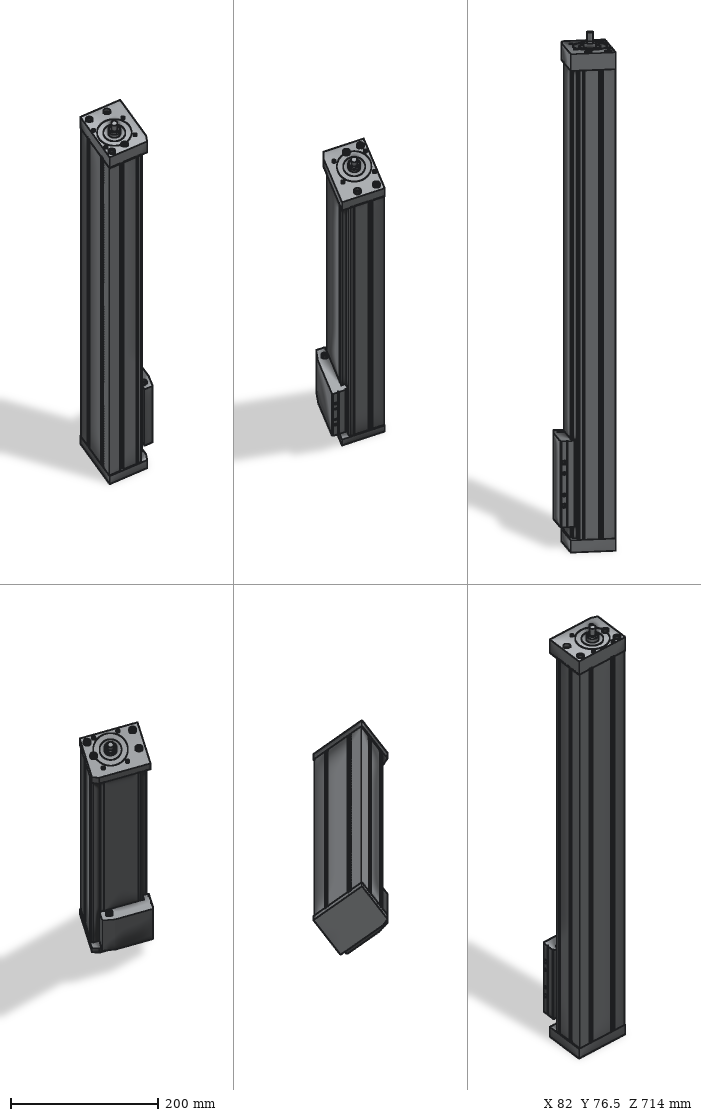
import cadquery as cq

TOTAL_LENGTH = 714.0

CAP_WIDTH = 82.0
CAP_DEPTH = 62.0
BOTTOM_CAP_LENGTH = 17.0
TOP_CAP_LENGTH = 23.5
CAP_SLOPE_WIDTH = 9.0
CAP_SLOPE_DROP = 3.5

SHAFT_STUB = 19.0
SHAFT_DIAMETER = 8.5
SHAFT_X = 5.35
SHAFT_Y = 27.0
COLLAR_DIAMETER = 17.0
COLLAR_TIP_DIAMETER = 13.5
COLLAR_HEIGHT = 7.0
COLLAR_CONE_HEIGHT = 2.0

SEAT_DIAMETER = 47.0
SEAT_DEPTH = 1.0
BEARING_DIAMETER = 30.0
BEARING_DEPTH = 1.5

FLANGE_HOLE_DIAMETER = 3.2
FLANGE_HOLE_DEPTH = 11.0
FLANGE_MOUTH_DIAMETER = 5.0
FLANGE_MOUTH_DEPTH = 1.5
FLANGE_PITCH_X = 34.0
FLANGE_PITCH_Y = 46.0

SCREW_POSITIONS = [(-31.5, 8.5), (33.0, 8.0), (30.0, 29.0)]
SCREW_HOLE_DIAMETER = 3.2
SCREW_STEP_DIAMETER = 7.0
SCREW_STEP_DEPTH = 6.5
SCREW_MOUTH_DIAMETER = 10.0
SCREW_MOUTH_DEPTH = 2.0

PORT_X = -32.0
PORT_Y = 36.5
PORT_DIAMETER = 6.0
PORT_HEAD_DIAMETER = 10.0
PORT_HEAD_DEPTH = 6.5

PROFILE_WIDTH = 79.0
BODY_HEIGHT = 51.5
BODY_CHAMFER = 2.0
SIDE_GROOVE_BOTTOM = 43.0
SIDE_GROOVE_TOP = 45.0
SIDE_GROOVE_DEPTH = 1.5
RAIL_WIDTH = 56.0
RAIL_EDGE = 56.5
RAIL_STEP = 58.0
RAIL_TOP = 60.0
RAIL_TOP_WIDTH = 48.5
SLOT_MOUTH_WIDTH = 6.0
SLOT_MOUTH_DEPTH = 1.5
SLOT_WIDTH = 2.0
SLOT_DEPTH = 7.0
BACK_SLOT_PITCH = 38.5
SIDE_SLOT_Y = 20.0

CARRIAGE_START = 36.0
CARRIAGE_LENGTH = 120.0
CARRIAGE_LEFT = -CAP_WIDTH / 2
CARRIAGE_EDGE_CHAMFER = 1.5
CARRIAGE_RIGHT = 31.0
CARRIAGE_TOP = 76.5
CARRIAGE_BOTTOM = 53.5
CARRIAGE_LEG_THICKNESS = 8.5
CARRIAGE_SLOPE_WIDTH = 17.0
CARRIAGE_SLOPE_DROP = 3.5
CARRIAGE_UPPER_GROOVE_Y = 67.0
CARRIAGE_LOWER_GROOVE_Y = 56.5
CARRIAGE_GROOVE_WIDTH = 1.5
CARRIAGE_GROOVE_DEPTH = 1.5
SIDE_HOLE_Y = 71.5
SIDE_HOLE_DEPTH = 8.5
OUTER_HOLE_DIAMETER = 6.0
OUTER_HOLE_PITCH = 60.0
INNER_HOLE_DIAMETER = 4.0
INNER_HOLE_PITCH = 30.0
END_HOLE_X = 18.5
END_HOLE_Y = 65.0
END_HOLE_DIAMETER = 5.0
END_HOLE_DEPTH = 14.0
END_HEAD_DIAMETER = 10.0
END_HEAD_DEPTH = 4.0

TOP_CAP_TOP = TOTAL_LENGTH - SHAFT_STUB
TOP_CAP_BOTTOM = TOP_CAP_TOP - TOP_CAP_LENGTH
BEARING_FLOOR = TOP_CAP_TOP - BEARING_DEPTH


def cylinder(x, y, z, diameter, height):
    """Cylinder along Z standing on the level z."""
    return cq.Workplane("XY", origin=(x, y, z)).circle(diameter / 2).extrude(height)


def make_cap(bottom, length):
    """End cap block with its sloped +X, +Y corner."""
    half = CAP_WIDTH / 2
    outline = [
        (-half, 0),
        (half, 0),
        (half, CAP_DEPTH - CAP_SLOPE_DROP),
        (half - CAP_SLOPE_WIDTH, CAP_DEPTH),
        (-half, CAP_DEPTH),
    ]
    return cq.Workplane("XY", origin=(0, 0, bottom)).polyline(outline).close().extrude(length)


def make_top_cap():
    """Drive end cap with the shaft seat, flange holes, screw holes and side port."""
    cap = make_cap(TOP_CAP_BOTTOM, TOP_CAP_LENGTH)

    def drill(x, y, diameter, depth):
        return cap.cut(cylinder(x, y, TOP_CAP_TOP, diameter, -depth))

    cap = drill(SHAFT_X, SHAFT_Y, SEAT_DIAMETER, SEAT_DEPTH)
    cap = drill(SHAFT_X, SHAFT_Y, BEARING_DIAMETER, BEARING_DEPTH)
    cap = drill(SHAFT_X, SHAFT_Y, SHAFT_DIAMETER, TOP_CAP_LENGTH)
    for side_x in (-1, 1):
        for side_y in (-1, 1):
            x = SHAFT_X + side_x * FLANGE_PITCH_X / 2
            y = SHAFT_Y + side_y * FLANGE_PITCH_Y / 2
            cap = drill(x, y, FLANGE_HOLE_DIAMETER, FLANGE_HOLE_DEPTH)
            cap = drill(x, y, FLANGE_MOUTH_DIAMETER, FLANGE_MOUTH_DEPTH)
    for x, y in SCREW_POSITIONS:
        cap = drill(x, y, SCREW_HOLE_DIAMETER, TOP_CAP_LENGTH)
        cap = drill(x, y, SCREW_STEP_DIAMETER, SCREW_STEP_DEPTH)
        cap = drill(x, y, SCREW_MOUTH_DIAMETER, SCREW_MOUTH_DEPTH)
    cap = drill(PORT_X, PORT_Y, PORT_DIAMETER, TOP_CAP_LENGTH)
    return drill(PORT_X, PORT_Y, PORT_HEAD_DIAMETER, PORT_HEAD_DEPTH)


def make_profile():
    """Extruded beam with a guide rail on its +Y side and stepped slots in the other sides."""
    length = TOP_CAP_BOTTOM - BOTTOM_CAP_LENGTH
    half = PROFILE_WIDTH / 2
    groove_floor = half - SIDE_GROOVE_DEPTH
    right_half = [
        (half, 0),
        (half, SIDE_GROOVE_BOTTOM),
        (groove_floor, SIDE_GROOVE_BOTTOM),
        (groove_floor, SIDE_GROOVE_TOP),
        (half, SIDE_GROOVE_TOP),
        (half, BODY_HEIGHT - BODY_CHAMFER),
        (half - BODY_CHAMFER, BODY_HEIGHT),
        (RAIL_WIDTH / 2, BODY_HEIGHT),
        (RAIL_WIDTH / 2, RAIL_EDGE),
        (RAIL_TOP_WIDTH / 2, RAIL_STEP),
        (RAIL_TOP_WIDTH / 2, RAIL_TOP),
    ]
    left_half = [(-x, y) for x, y in reversed(right_half)]
    base = cq.Workplane("XY", origin=(0, 0, BOTTOM_CAP_LENGTH))
    profile = base.polyline(right_half + left_half).close().extrude(length)
    back_slots = base.pushPoints([(-BACK_SLOT_PITCH / 2, 0), (BACK_SLOT_PITCH / 2, 0)])
    side_slots = base.pushPoints([(-half, SIDE_SLOT_Y), (half, SIDE_SLOT_Y)])
    for width, depth in ((SLOT_MOUTH_WIDTH, SLOT_MOUTH_DEPTH), (SLOT_WIDTH, SLOT_DEPTH)):
        profile = profile.cut(back_slots.rect(width, 2 * depth).extrude(length))
        profile = profile.cut(side_slots.rect(2 * depth, width).extrude(length))
    return profile


def make_carriage():
    """Carriage plate lying on the rail, with a leg hanging down on the -X side."""
    leg_inside = CARRIAGE_LEFT + CARRIAGE_LEG_THICKNESS
    outline = [
        (CARRIAGE_LEFT, CARRIAGE_BOTTOM),
        (leg_inside, CARRIAGE_BOTTOM),
        (leg_inside, RAIL_TOP),
        (CARRIAGE_RIGHT, RAIL_TOP),
        (CARRIAGE_RIGHT, CARRIAGE_TOP - CARRIAGE_SLOPE_DROP),
        (CARRIAGE_RIGHT - CARRIAGE_SLOPE_WIDTH, CARRIAGE_TOP),
        (CARRIAGE_LEFT + CARRIAGE_EDGE_CHAMFER, CARRIAGE_TOP),
        (CARRIAGE_LEFT, CARRIAGE_TOP - CARRIAGE_EDGE_CHAMFER),
    ]
    base = cq.Workplane("XY", origin=(0, 0, CARRIAGE_START))
    carriage = base.polyline(outline).close().extrude(CARRIAGE_LENGTH)
    grooves = base.pushPoints(
        [(CARRIAGE_LEFT, CARRIAGE_UPPER_GROOVE_Y), (CARRIAGE_LEFT, CARRIAGE_LOWER_GROOVE_Y)]
    )
    grooves = grooves.rect(2 * CARRIAGE_GROOVE_DEPTH, CARRIAGE_GROOVE_WIDTH)
    carriage = carriage.cut(grooves.extrude(CARRIAGE_LENGTH))
    middle = CARRIAGE_START + CARRIAGE_LENGTH / 2
    side = cq.Workplane("YZ", origin=(CARRIAGE_LEFT, SIDE_HOLE_Y, middle))
    for diameter, pitch in (
        (OUTER_HOLE_DIAMETER, OUTER_HOLE_PITCH),
        (INNER_HOLE_DIAMETER, INNER_HOLE_PITCH),
    ):
        holes = side.pushPoints([(0, -pitch / 2), (0, pitch / 2)])
        carriage = carriage.cut(holes.circle(diameter / 2).extrude(SIDE_HOLE_DEPTH))
    end = CARRIAGE_START + CARRIAGE_LENGTH
    carriage = carriage.cut(cylinder(END_HOLE_X, END_HOLE_Y, end, END_HOLE_DIAMETER, -END_HOLE_DEPTH))
    return carriage.cut(cylinder(END_HOLE_X, END_HOLE_Y, end, END_HEAD_DIAMETER, -END_HEAD_DEPTH))


def make_shaft():
    """Drive shaft turned about its own axis, with a conical collar in the bearing seat."""
    shaft_radius = SHAFT_DIAMETER / 2
    collar_radius = COLLAR_DIAMETER / 2
    cone_top = TOP_CAP_TOP + COLLAR_HEIGHT
    half_section = [
        (0, TOP_CAP_BOTTOM),
        (shaft_radius, TOP_CAP_BOTTOM),
        (shaft_radius, BEARING_FLOOR),
        (collar_radius, BEARING_FLOOR),
        (collar_radius, cone_top - COLLAR_CONE_HEIGHT),
        (COLLAR_TIP_DIAMETER / 2, cone_top),
        (shaft_radius, cone_top),
        (shaft_radius, TOTAL_LENGTH),
        (0, TOTAL_LENGTH),
    ]
    section = cq.Workplane("XZ", origin=(SHAFT_X, SHAFT_Y, 0)).polyline(half_section).close()
    return section.revolve(360, (0, 0, 0), (0, 1, 0))


bottom_cap = make_cap(0, BOTTOM_CAP_LENGTH)
top_cap = make_top_cap()
profile = make_profile()
carriage = make_carriage()
shaft = make_shaft()

result = cq.Compound.makeCompound(
    [bottom_cap.val(), top_cap.val(), profile.val(), carriage.val(), shaft.val()]
)